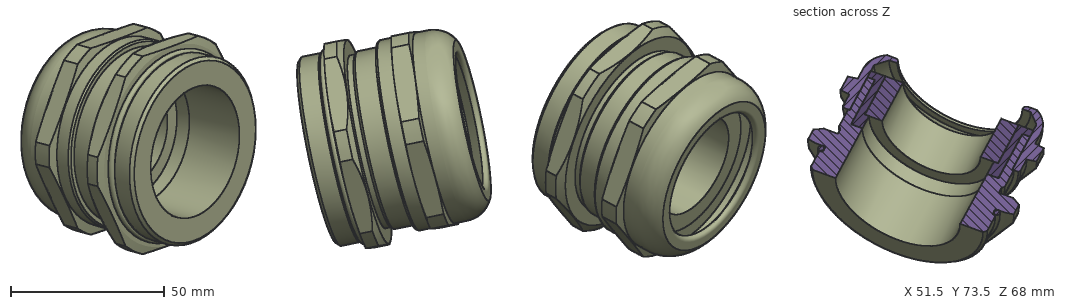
import cadquery as cq
import math


nut_length = 25.0
nut_diameter = 63.5
nut_face_diameter = 53.5
dome_length = 8.2
nut_hex_flats = 64.05
nut_hex_corners = 70.0
nut_hex_start = 12.4
nut_hex_end = 19.4
nut_hex_chamfer_length = 0.5
nut_hex_chamfer_diameter = 63.8
nut_end_chamfer_length = 0.7
nut_end_chamfer_depth = 0.5
nut_bore_diameter = 57.8
lip_mouth_diameter = 47.4
lip_diameter = 44.5
lip_thickness = 1.75
bore_taper_length = 3.7

seal_bore_diameter = 35.0
seal_diameter = 47.75
seal_start = 7.85
seal_end = 24.6

cage_diameter = 52.8
cage_flange_thickness = 2.95
cage_end = 30.0

body_end = 51.5
body_bore_diameter = 44.4
sleeve_diameter = 59.3
sleeve_chamfer_start = 32.2
neck_diameter = 57.6
flange_start = 35.0
flange_end = 41.5
flange_hex_flats = 68.0
flange_hex_corners = 73.45
flange_front_chamfer_length = 1.75
flange_back_chamfer_length = 0.55
flange_chamfer_diameter = 67.7
groove_diameter = 60.8
groove_width = 2.05
thread_diameter = 63.0
thread_start_chamfer = 0.48
thread_end_chamfer = 1.1


def revolve_profile(profile):
    """Revolve a closed (x, radius) profile about the X axis."""
    return profile.close().revolve(360, (0, 0, 0), (1, 0, 0))


def cylinder(start, end, diameter):
    """Cylinder on the X axis between two X positions."""
    return cq.Workplane("YZ").workplane(offset=start).circle(diameter / 2).extrude(end - start)


def chamfered_hex(start, end, flats, corners, end_diameter, front_length, back_length):
    """Hexagon with flats facing +Z and -Z, its corners turned down to cones at both ends."""
    hexagon = (
        cq.Workplane("YZ")
        .workplane(offset=start)
        .polygon(6, flats / math.cos(math.radians(30)))
        .extrude(end - start)
    )
    turned_blank = revolve_profile(
        cq.Workplane("XY")
        .moveTo(start, 0)
        .lineTo(start, end_diameter / 2)
        .lineTo(start + front_length, corners / 2)
        .lineTo(end - back_length, corners / 2)
        .lineTo(end, end_diameter / 2)
        .lineTo(end, 0)
    )
    return hexagon.intersect(turned_blank)


def make_dome_nut():
    outer_radius = nut_diameter / 2
    face_radius = nut_face_diameter / 2
    dome_drop = outer_radius - face_radius
    dome_radius = (dome_length**2 + dome_drop**2) / (2 * dome_drop)
    dome_mid_angle = math.asin(dome_length / dome_radius) / 2
    dome_mid = (
        dome_length - dome_radius * math.sin(dome_mid_angle),
        outer_radius - dome_radius * (1 - math.cos(dome_mid_angle)),
    )
    shell = revolve_profile(
        cq.Workplane("XY")
        .lineTo(0, face_radius)
        .threePointArc(dome_mid, (dome_length, outer_radius))
        .lineTo(nut_length - nut_end_chamfer_length, outer_radius)
        .lineTo(nut_length, outer_radius - nut_end_chamfer_depth)
        .lineTo(nut_length, 0)
    )
    wrench_hex = chamfered_hex(
        nut_hex_start, nut_hex_end, nut_hex_flats, nut_hex_corners,
        nut_hex_chamfer_diameter, nut_hex_chamfer_length, nut_hex_chamfer_length,
    )
    lip_radius = lip_diameter / 2
    mouth_radius = lip_mouth_diameter / 2
    mouth_round = mouth_radius - lip_radius
    round_inset = mouth_round * (1 - math.sqrt(0.5))
    opening = revolve_profile(
        cq.Workplane("XY")
        .lineTo(0, mouth_radius)
        .threePointArc((round_inset, lip_radius + round_inset), (mouth_round, lip_radius))
        .lineTo(lip_thickness, lip_radius)
        .lineTo(lip_thickness, 0)
    )
    bore_radius = nut_bore_diameter / 2
    bore = revolve_profile(
        cq.Workplane("XY")
        .moveTo(lip_thickness, 0)
        .lineTo(lip_thickness, bore_radius - bore_taper_length)
        .lineTo(lip_thickness + bore_taper_length, bore_radius)
        .lineTo(nut_length, bore_radius)
        .lineTo(nut_length, 0)
    )
    return shell.union(wrench_hex).cut(opening).cut(bore)


def make_seal():
    return cylinder(seal_start, seal_end, seal_diameter).cut(
        cylinder(seal_start, seal_end, seal_bore_diameter)
    )


def make_cage():
    flange = cylinder(seal_start, seal_start + cage_flange_thickness, nut_bore_diameter)
    tube = cylinder(seal_start, cage_end, cage_diameter)
    seal_pocket = cylinder(seal_start, seal_end, seal_diameter)
    bore = cylinder(seal_end, cage_end, body_bore_diameter)
    return flange.union(tube).cut(seal_pocket).cut(bore)


def make_body():
    spigot_start = seal_start + cage_flange_thickness
    spigot_radius = nut_bore_diameter / 2
    sleeve_radius = sleeve_diameter / 2
    neck_radius = neck_diameter / 2
    groove_radius = groove_diameter / 2
    thread_radius = thread_diameter / 2
    thread_start = flange_end + groove_width
    turned = revolve_profile(
        cq.Workplane("XY")
        .moveTo(spigot_start, 0)
        .lineTo(spigot_start, spigot_radius)
        .lineTo(nut_length, spigot_radius)
        .lineTo(nut_length, sleeve_radius)
        .lineTo(sleeve_chamfer_start, sleeve_radius)
        .lineTo(sleeve_chamfer_start + sleeve_radius - neck_radius, neck_radius)
        .lineTo(flange_end, neck_radius)
        .lineTo(flange_end, groove_radius)
        .lineTo(thread_start, groove_radius)
        .lineTo(thread_start, thread_radius - thread_start_chamfer)
        .lineTo(thread_start + thread_start_chamfer, thread_radius)
        .lineTo(body_end - thread_end_chamfer, thread_radius)
        .lineTo(body_end, thread_radius - thread_end_chamfer)
        .lineTo(body_end, 0)
    )
    flange_hex = chamfered_hex(
        flange_start, flange_end, flange_hex_flats, flange_hex_corners,
        flange_chamfer_diameter, flange_front_chamfer_length, flange_back_chamfer_length,
    )
    cage_socket = cylinder(spigot_start, cage_end, cage_diameter)
    bore = cylinder(cage_end, body_end, body_bore_diameter)
    return turned.union(flange_hex).cut(cage_socket).cut(bore)


def make_o_ring():
    section_radius = groove_width / 2
    centre_radius = groove_diameter / 2 + section_radius
    return (
        cq.Workplane("XY")
        .center(flange_end + groove_width / 2, centre_radius)
        .circle(section_radius)
        .revolve(360, (0, -centre_radius, 0), (1, -centre_radius, 0))
    )


dome_nut = make_dome_nut()
seal = make_seal()
cage = make_cage()
body = make_body()
o_ring = make_o_ring()

result = cq.Compound.makeCompound(
    [dome_nut.val(), seal.val(), cage.val(), body.val(), o_ring.val()]
)